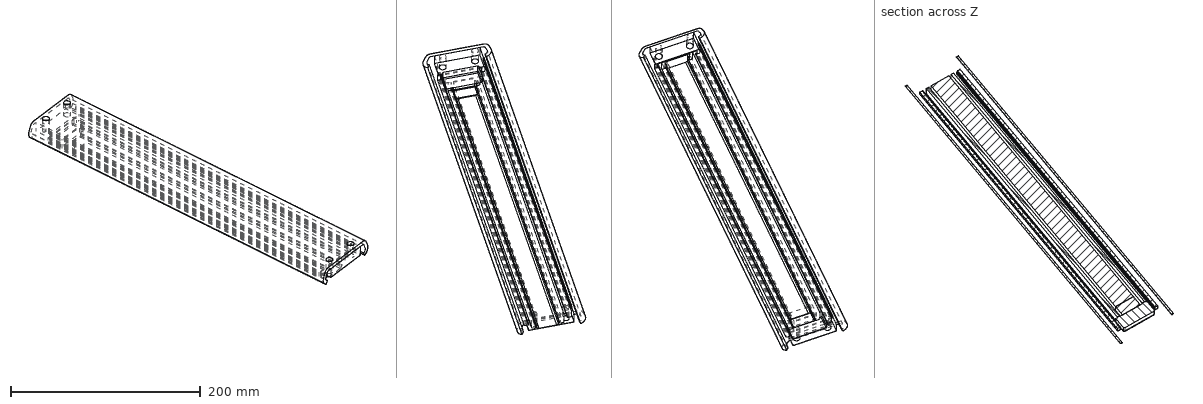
import cadquery as cq
import math

length = 400.0
width = 75.0
height = 32.0

cover_wall = 4.5
corner_radius = 6.5
curl_radius = 9.0
slant_angle = 23.0
lip_end_angle = 67.0
curl_y = width / 2 - curl_radius
curl_z = -12.5

spacer_half_width = 25.0
spacer_height = 11.5
spacer_bottom = -(cover_wall + spacer_height)
ridge_start = 13.0
ridge_out = 1.0
ridge_height = 3.0
ridge_z = -8.5

hole_diameter = 7.0
hole_inset = 7.5
hole_y = 17.5

slide_end = 385.0
web = 1.0
rail_wall = 3.5
foot_reach = 1.0
edge_round = 1.5

outer_start = 17.0
outer_half_width = 26.0
outer_foot_height = 2.5

middle_start = 29.0
middle_half_width = 17.5
middle_foot_height = 2.5

inner_start = 41.0
inner_half_width = 11.5
inner_chamfer_side = 2.0
inner_chamfer_rise = 1.0

outer_stop_start = 13.5
outer_stop_half_width = 20.0
outer_stop_bottom = -27.0
outer_stop_drop = 3.0
outer_stop_chamfer = 1.0

middle_stop_bottom = -31.0
middle_stop_drop = 0.6
middle_stop_chamfer = 1.0

outer_bottom = outer_stop_bottom + outer_stop_drop
middle_bottom = middle_stop_bottom + middle_stop_drop
middle_top = spacer_bottom - web
inner_top = middle_top - web


def box(x_start, x_end, half_width, z_bottom, z_top):
    """Block centred on the XZ plane."""
    return (
        cq.Workplane("XY", origin=(x_start, 0, z_bottom))
        .rect(x_end - x_start, 2 * half_width)
        .extrude(z_top - z_bottom)
        .translate(((x_end - x_start) / 2, 0, 0))
    )


def polar(center_y, center_z, radius, angle):
    """Point on a circle; the angle is in degrees up from +Y."""
    a = math.radians(angle)
    return (center_y + radius * math.cos(a), center_z + radius * math.sin(a))


def drill(body):
    """Cut the four vertical screw holes."""
    tool = (
        cq.Workplane("XY")
        .pushPoints([(x, y) for x in (hole_inset, length - hole_inset) for y in (-hole_y, hole_y)])
        .circle(hole_diameter / 2)
        .extrude(spacer_bottom)
    )
    return body.cut(tool)


def make_cover():
    slant = math.radians(slant_angle)
    corner_z = -corner_radius
    drop = (curl_z - corner_z) * math.sin(slant)
    corner_y = curl_y + (drop + curl_radius - corner_radius) / math.cos(slant)
    corner_mid = (90 + slant_angle) / 2
    curl_mid = (slant_angle - lip_end_angle) / 2
    inner_corner = corner_radius - cover_wall
    inner_curl = curl_radius - cover_wall

    half = (
        cq.Workplane("YZ")
        .moveTo(0, 0)
        .lineTo(corner_y, 0)
        .threePointArc(
            polar(corner_y, corner_z, corner_radius, corner_mid),
            polar(corner_y, corner_z, corner_radius, slant_angle),
        )
        .lineTo(*polar(curl_y, curl_z, curl_radius, slant_angle))
        .threePointArc(
            polar(curl_y, curl_z, curl_radius, curl_mid),
            polar(curl_y, curl_z, curl_radius, -lip_end_angle),
        )
        .lineTo(*polar(curl_y, curl_z, inner_curl, -lip_end_angle))
        .threePointArc(
            polar(curl_y, curl_z, inner_curl, curl_mid),
            polar(curl_y, curl_z, inner_curl, slant_angle),
        )
        .lineTo(*polar(corner_y, corner_z, inner_corner, slant_angle))
        .threePointArc(
            polar(corner_y, corner_z, inner_corner, corner_mid),
            (corner_y, -cover_wall),
        )
        .lineTo(0, -cover_wall)
        .close()
        .extrude(length)
    )
    return drill(half.union(half.mirror("XZ")).clean())


def make_spacer():
    bar = box(0, length, spacer_half_width, spacer_bottom, -cover_wall)
    ridges = box(
        ridge_start,
        length - ridge_start,
        spacer_half_width + ridge_out,
        ridge_z - ridge_height / 2,
        ridge_z + ridge_height / 2,
    )
    return drill(bar.union(ridges))


def make_channel(x_start, half_width, z_bottom, z_top, foot_height):
    """Rail open at the bottom, with feet turned inward under the side walls."""
    cavity_half = half_width - rail_wall
    body = box(x_start, slide_end, half_width, z_bottom, z_top).faces("<Z").edges("|X").fillet(edge_round)
    cavity = box(x_start, slide_end, cavity_half, z_bottom + foot_height, z_top - web)
    mouth = box(x_start, slide_end, cavity_half - foot_reach, z_bottom, z_top - web)
    return body.cut(cavity).cut(mouth)


def make_inner_rail():
    body = box(inner_start, slide_end, inner_half_width, -height, inner_top)
    lower_face = body.faces("<Z").edges("|X")
    return lower_face.chamfer(inner_chamfer_rise, inner_chamfer_side)


def make_outer_stop():
    body = box(outer_stop_start, middle_start, outer_stop_half_width, outer_stop_bottom, middle_top)
    body = body.faces("<Z").edges("|X").chamfer(outer_stop_chamfer)
    return body.faces("<X").edges("not >Z").chamfer(outer_stop_chamfer)


def make_middle_stop():
    body = box(middle_start, inner_start, inner_half_width, middle_stop_bottom, inner_top)
    return body.faces("<X").edges("<Z").chamfer(middle_stop_chamfer)


cover = make_cover()
spacer = make_spacer()
outer_rail = make_channel(outer_start, outer_half_width, outer_bottom, spacer_bottom, outer_foot_height)
middle_rail = make_channel(middle_start, middle_half_width, middle_bottom, middle_top, middle_foot_height)
inner_rail = make_inner_rail()
outer_stop = make_outer_stop()
middle_stop = make_middle_stop()

result = cq.Compound.makeCompound(
    [
        cover.val(),
        spacer.val(),
        outer_rail.val(),
        middle_rail.val(),
        inner_rail.val(),
        outer_stop.val(),
        middle_stop.val(),
    ]
)